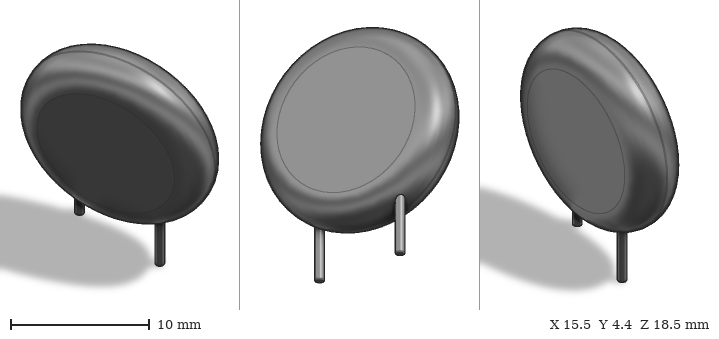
import cadquery as cq

body_diameter = 15.5
body_thickness = 4.4
rim_band_width = 0.1
rim_radius = (body_thickness - rim_band_width) / 2
body_center_z = body_diameter / 2

lead_diameter = 0.72
lead_pitch_x = 7.5
lead_pitch_y = 1.9
lead_drop = 3.03
lead_tip_radius = lead_diameter / 5


def make_body():
    """Disc with both rim edges rounded."""
    return (
        cq.Workplane("XZ", origin=(0, body_thickness / 2, body_center_z))
        .circle(body_diameter / 2)
        .extrude(body_thickness)
        .edges("%CIRCLE")
        .fillet(rim_radius)
    )


def make_lead(x, y):
    """Vertical lead with a rounded tip, ending inside the body at its center height."""
    return (
        cq.Workplane("XY", origin=(x, y, -lead_drop))
        .circle(lead_diameter / 2)
        .extrude(lead_drop + body_center_z)
        .faces("<Z")
        .edges()
        .fillet(lead_tip_radius)
    )


result = make_body()
for side in (-1, 1):
    result = result.union(make_lead(side * lead_pitch_x / 2, -side * lead_pitch_y / 2))